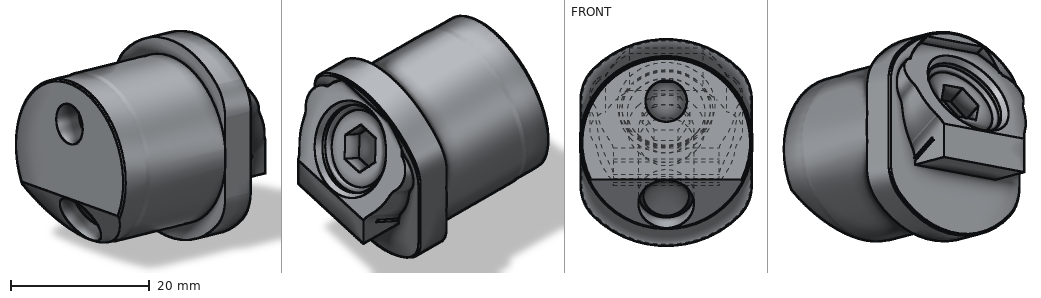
import cadquery as cq
import math


TOTAL_LENGTH = 30.5
BODY_DIAMETER = 24.98
BODY_RADIUS = BODY_DIAMETER / 2
LEAD_RADIUS = 12.38
LEAD_LENGTH = 4.27
TAPER_LENGTH = 0.75
FRONT_CHAMFER = 0.27
FLANGE_FRONT = 18.95
FLANGE_BACK = 23.97
FLANGE_RADIUS = 14.95
FLANGE_HALF_WIDTH = 12.38
FLANGE_CORNER_RADIUS = 6.35
FLANGE_CHAMFER = 0.25

HOLE_RADIUS = 3.0
HOLE_Z = 5.98
HOLE_DEPTH = 4.27
RELIEF_Z = 8.72

TILT = math.radians(30)
BEVEL_TOP_Z = -5.3
BORE_MOUTH_Z = -8.88
BORE_MOUTH_Y = (BEVEL_TOP_Z - BORE_MOUTH_Z) * math.tan(TILT)

JAW_FACE = 28.67
STEM_END = 18
JAW_RADIUS = 10.05
JAW_FLAT = 8.55
NECK_JOIN = -5.58
EAR_ROOT = -1.35
EAR_TOP = 5.0
EAR_FOOT = (10.5, 0.05)
EAR_FOOT_MIDDLE = (10.15, -0.55)
EAR_TIP = (11.0, 1.98)
NECK_FOOT = (8.3, -5.75)
NECK_MIDDLE = (7.78, -6.7)
NOSE_HALF_WIDTH = 7.6
NOSE_SEAT = -7.75
NOSE_BOTTOM_Z = -5.73
SLOT_HEIGHT = 0.45
SLOT_END = 25.55

SCREW_RADIUS = 4.0
SCREW_TIP = 2.32
TIP_CHAMFER = 0.7
HEAD_RADIUS = 5.6
HEAD_DEPTH = 2.07
HEAD_LENGTH = 4.88
HEX_FLATS = 6.0
HEX_DEPTH = 3.05
SINK_RADIUS = 7.05
SINK_DEPTH = 0.9
RING_BORE_RADIUS = 6.37
WIRE_RADIUS = 0.58

HEAD_FACE = JAW_FACE - HEAD_DEPTH
HEAD_SEAT = HEAD_FACE - HEAD_LENGTH


def oblique_plane(distance):
    """Plane square to the oblique axis; its local Y points upwards."""
    origin = (
        0,
        BORE_MOUTH_Y + distance * math.cos(TILT),
        BORE_MOUTH_Z + distance * math.sin(TILT),
    )
    return cq.Plane(origin=origin, xDir=(-1, 0, 0), normal=(0, math.cos(TILT), math.sin(TILT)))


def oblique_cylinder(radius, start, end):
    return cq.Workplane(oblique_plane(start)).circle(radius).extrude(end - start)


def side_prism(points, half_width):
    """Prism along X, centred on X = 0, from a (Y, Z) outline."""
    return cq.Workplane("YZ").polyline(points).close().extrude(half_width, both=True)


def on_jaw_circle(height):
    return (math.sqrt(JAW_RADIUS**2 - height**2), height)


def circle_middle(start, end):
    """Point of the main jaw outline halfway between two heights."""
    angle = (math.asin(start / JAW_RADIUS) + math.asin(end / JAW_RADIUS)) / 2
    return (JAW_RADIUS * math.cos(angle), JAW_RADIUS * math.sin(angle))


def jaw_prism(end, slot_end):
    """Eared jaw outline extruded along the oblique axis, undercut by the slot up to slot_end."""
    half_outline = (
        cq.Workplane(oblique_plane(STEM_END))
        .moveTo(0, NOSE_SEAT)
        .lineTo(NOSE_HALF_WIDTH, NOSE_SEAT)
        .threePointArc(NECK_MIDDLE, NECK_FOOT)
        .lineTo(*on_jaw_circle(NECK_JOIN))
        .threePointArc(circle_middle(NECK_JOIN, EAR_ROOT), on_jaw_circle(EAR_ROOT))
        .threePointArc(EAR_FOOT_MIDDLE, EAR_FOOT)
        .threePointArc(EAR_TIP, on_jaw_circle(EAR_TOP))
        .threePointArc(circle_middle(EAR_TOP, JAW_FLAT), on_jaw_circle(JAW_FLAT))
        .lineTo(0, JAW_FLAT)
    )
    prism = half_outline.mirrorY().extrude(end - STEM_END)
    slot = (
        cq.Workplane(oblique_plane(STEM_END))
        .center(0, NOSE_SEAT + SLOT_HEIGHT / 2)
        .rect(2 * JAW_RADIUS, SLOT_HEIGHT)
        .extrude(slot_end - STEM_END)
    )
    return prism.cut(slot)


def seat_z(y):
    """Height of the sloped underside of the jaw head at a given Y."""
    return BORE_MOUTH_Z + (y - BORE_MOUTH_Y) * math.tan(TILT) + NOSE_SEAT / math.cos(TILT)


def make_flange():
    thickness = FLANGE_BACK - FLANGE_FRONT
    front = cq.Workplane("XZ", origin=(0, FLANGE_FRONT, 0))
    disc = front.circle(FLANGE_RADIUS).extrude(-thickness)
    slab = front.rect(2 * FLANGE_HALF_WIDTH, 2 * FLANGE_RADIUS).extrude(-thickness)
    flange = disc.intersect(slab)
    flange = flange.edges("|Y and (>X or <X)").fillet(FLANGE_CORNER_RADIUS)
    return flange.faces(">Y").edges().chamfer(FLANGE_CHAMFER)


def hole_cylinder(depth):
    return cq.Workplane("XZ").center(0, HOLE_Z).circle(HOLE_RADIUS).extrude(-depth)


def make_blind_hole():
    """Round hole whose floor slopes away, along the oblique direction, near its top."""
    top_z = HOLE_Z + HOLE_RADIUS
    relief_length = (top_z - RELIEF_Z) / math.tan(TILT)
    hole = hole_cylinder(HOLE_DEPTH)
    relief = side_prism(
        [(0, RELIEF_Z), (HOLE_DEPTH, RELIEF_Z), (HOLE_DEPTH + relief_length, top_z), (0, top_z)],
        HOLE_RADIUS,
    )
    return hole.union(hole_cylinder(HOLE_DEPTH + relief_length).intersect(relief))


def make_housing():
    taper_end = LEAD_LENGTH + TAPER_LENGTH
    barrel = (
        cq.Workplane("XY")
        .moveTo(0, 0)
        .lineTo(LEAD_RADIUS - FRONT_CHAMFER, 0)
        .lineTo(LEAD_RADIUS, FRONT_CHAMFER)
        .lineTo(LEAD_RADIUS, LEAD_LENGTH)
        .lineTo(BODY_RADIUS, taper_end)
        .lineTo(BODY_RADIUS, FLANGE_FRONT)
        .lineTo(0, FLANGE_FRONT)
        .close()
        .revolve(360, (0, 0, 0), (0, 1, 0))
    )
    bevel_bottom_z = -FLANGE_RADIUS
    bevel_length = (BEVEL_TOP_Z - bevel_bottom_z) * math.tan(TILT)
    bevel = side_prism(
        [(0, BEVEL_TOP_Z), (bevel_length, bevel_bottom_z), (0, bevel_bottom_z)],
        BODY_RADIUS,
    )
    pocket_end = JAW_FACE + BODY_RADIUS
    screw_bore = oblique_cylinder(SCREW_RADIUS, -SCREW_RADIUS, STEM_END)
    return (
        barrel.union(make_flange())
        .cut(bevel)
        .cut(make_blind_hole())
        .cut(jaw_prism(pocket_end, pocket_end))
        .cut(screw_bore)
    )


def make_ring():
    """Wire ring around the oblique axis, level with the screw head face."""
    ring = cq.Solid.makeTorus(HEAD_RADIUS + WIRE_RADIUS, WIRE_RADIUS)
    return cq.Workplane(ring.moved(cq.Location(oblique_plane(HEAD_FACE))))


def make_jaw(ring):
    nose = side_prism(
        [
            (FLANGE_BACK, NOSE_BOTTOM_Z),
            (TOTAL_LENGTH, NOSE_BOTTOM_Z),
            (TOTAL_LENGTH, seat_z(TOTAL_LENGTH)),
            (FLANGE_BACK, seat_z(FLANGE_BACK)),
        ],
        NOSE_HALF_WIDTH,
    )
    beyond_nose = (
        cq.Workplane("XZ", origin=(0, TOTAL_LENGTH, 0))
        .rect(2 * FLANGE_RADIUS, 2 * FLANGE_RADIUS)
        .extrude(-TOTAL_LENGTH)
    )
    countersink = (
        cq.Workplane(oblique_plane(JAW_FACE))
        .circle(SINK_RADIUS)
        .workplane(offset=-SINK_DEPTH)
        .circle(RING_BORE_RADIUS)
        .loft()
    )
    return (
        jaw_prism(JAW_FACE, SLOT_END)
        .union(nose)
        .cut(beyond_nose)
        .cut(countersink)
        .cut(oblique_cylinder(RING_BORE_RADIUS, HEAD_FACE, JAW_FACE - SINK_DEPTH))
        .cut(oblique_cylinder(HEAD_RADIUS, HEAD_SEAT, HEAD_FACE))
        .cut(oblique_cylinder(SCREW_RADIUS, STEM_END, HEAD_SEAT))
        .cut(ring)
    )


def make_screw():
    shank = oblique_cylinder(SCREW_RADIUS, SCREW_TIP, HEAD_SEAT).faces("<Y").chamfer(TIP_CHAMFER)
    head = oblique_cylinder(HEAD_RADIUS, HEAD_SEAT, HEAD_FACE)
    hex_corners = HEX_FLATS / math.cos(math.pi / 6)
    socket = cq.Workplane(oblique_plane(HEAD_FACE)).polygon(6, hex_corners).extrude(-HEX_DEPTH)
    return shank.union(head).cut(socket)


housing = make_housing()
ring = make_ring()
jaw = make_jaw(ring)
screw = make_screw()

result = cq.Compound.makeCompound([body.solids().val() for body in (housing, jaw, screw, ring)])